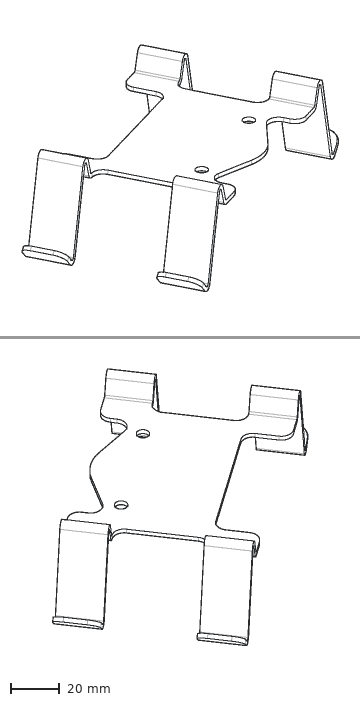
import cadquery as cq
import math

width = 80.0
half_length = 73.7
total_height = 42.1
bend_inner_radius = 1.0
thickness = 2 * bend_inner_radius
crest_height = 11.5

arm_width = 20.0
plate_edge_y = 40.0
plain_tab_y = 32.9
nose_tab_y = 32.0
corner_radius = 5.0
nose_x = 37.3
nose_radius = 20.0
flank_angle = math.radians(25.2)
hole_diameter = 5.5
hole_x = 20.0
hole_y = 24.3

bend_start_y = 45.1
root_overlap = 0.1
rise_angle = 70.0
fall_angle = 75.3
lip_angle = 45.0
bend_outer_radius = bend_inner_radius + thickness

half_width = width / 2
neck_x = half_width - arm_width
arm_center_x = half_width - arm_width / 2


def plate():
    """Flat plate with four tabs, a blunt nose on +X and two holes."""
    nose_corner_x = nose_x + nose_radius * (1 / math.cos(flank_angle) - 1)
    flank_root_x = nose_corner_x - nose_tab_y * math.tan(flank_angle)
    rounded_corners = [
        (-neck_x, plate_edge_y),
        (neck_x, plate_edge_y),
        (half_width, nose_tab_y),
        (flank_root_x, nose_tab_y),
        (-neck_x, plain_tab_y),
        (-half_width, plain_tab_y),
    ]
    upper_outline = [
        (-half_width, plain_tab_y),
        (-half_width, bend_start_y),
        (-neck_x, bend_start_y),
        (-neck_x, plate_edge_y),
        (neck_x, plate_edge_y),
        (neck_x, bend_start_y),
        (half_width, bend_start_y),
        (half_width, nose_tab_y),
        (flank_root_x, nose_tab_y),
        (nose_corner_x, 0),
    ]
    lower_outline = [(x, -y) for x, y in reversed(upper_outline[:-1])]
    neck_points = [(-neck_x, -plain_tab_y), (-neck_x, plain_tab_y)]
    outline = upper_outline + lower_outline + neck_points
    body = cq.Workplane("XY").polyline(outline).close().extrude(thickness)

    for x, y in rounded_corners:
        for side in (1, -1):
            corner = cq.selectors.NearestToPointSelector((x, side * y, thickness / 2))
            body = body.edges("|Z").edges(corner).fillet(corner_radius)
    nose = cq.selectors.NearestToPointSelector((nose_corner_x, 0, thickness / 2))
    body = body.edges("|Z").edges(nose).fillet(nose_radius)

    holes = cq.Workplane("XY").pushPoints([(hole_x, hole_y), (hole_x, -hole_y)])
    return body.cut(holes.circle(hole_diameter / 2).extrude(thickness))


def offset(point, distance, angle):
    """Point moved by a distance along a direction in degrees."""
    direction = math.radians(angle)
    return (point[0] + distance * math.cos(direction), point[1] + distance * math.sin(direction))


def bend_centers():
    """Y, Z centers of the root, crest and valley bends of one arm."""
    rise = math.radians(rise_angle)
    fall = math.radians(fall_angle)
    root = (bend_start_y, thickness + bend_inner_radius)
    crest_z = crest_height - bend_outer_radius
    valley_z = crest_height - total_height + bend_outer_radius

    bend_spacing = bend_inner_radius + bend_outer_radius
    rise_length = (crest_z - root[1] + bend_spacing * math.cos(rise)) / math.sin(rise)
    crest_y = root[0] + rise_length * math.cos(rise) + bend_spacing * math.sin(rise)

    fall_length = (crest_z - valley_z + bend_spacing * math.cos(fall)) / math.sin(fall)
    valley_y = crest_y + fall_length * math.cos(fall) + bend_spacing * math.sin(fall)
    return root, (crest_y, crest_z), (valley_y, valley_z)


def add_arc(outline, center, radius, start, end):
    """Outline continued around a bend, after a straight run to the start of the arc."""
    middle = offset(center, radius, (start + end) / 2)
    outline = outline.lineTo(*offset(center, radius, start))
    return outline.threePointArc(middle, offset(center, radius, end))


def arm_blank():
    """Bent strip of the +Y arms, centered on X = 0."""
    root, crest, valley = bend_centers()
    lip_start = offset(valley, bend_outer_radius, lip_angle - 90)
    lip_length = (half_length - lip_start[0]) / math.cos(math.radians(lip_angle))
    lip_tip = offset(lip_start, lip_length, lip_angle)

    overlap_y = bend_start_y - root_overlap
    bends = [
        (root, bend_outer_radius, bend_inner_radius, -90, rise_angle - 90),
        (crest, bend_inner_radius, bend_outer_radius, rise_angle + 90, 90 - fall_angle),
        (valley, bend_outer_radius, bend_inner_radius, -90 - fall_angle, lip_angle - 90),
    ]
    outline = cq.Workplane("YZ").moveTo(overlap_y, 0)
    for center, lower_radius, _, start, end in bends:
        outline = add_arc(outline, center, lower_radius, start, end)
    outline = outline.lineTo(*lip_tip).lineTo(*offset(lip_tip, thickness, lip_angle + 90))
    for center, _, upper_radius, start, end in reversed(bends):
        outline = add_arc(outline, center, upper_radius, end, start)
    strip = outline.lineTo(overlap_y, thickness).close().extrude(arm_width / 2, both=True)

    lip_end = cq.selectors.NearestToPointSelector((0, *offset(lip_tip, thickness / 2, lip_angle + 90)))
    return strip.faces(lip_end).edges("not |X").fillet(corner_radius)


result = plate()
arm = arm_blank()
for arm_x in (-arm_center_x, arm_center_x):
    placed_arm = arm.translate((arm_x, 0, 0))
    result = result.union(placed_arm).union(placed_arm.mirror("XZ"))